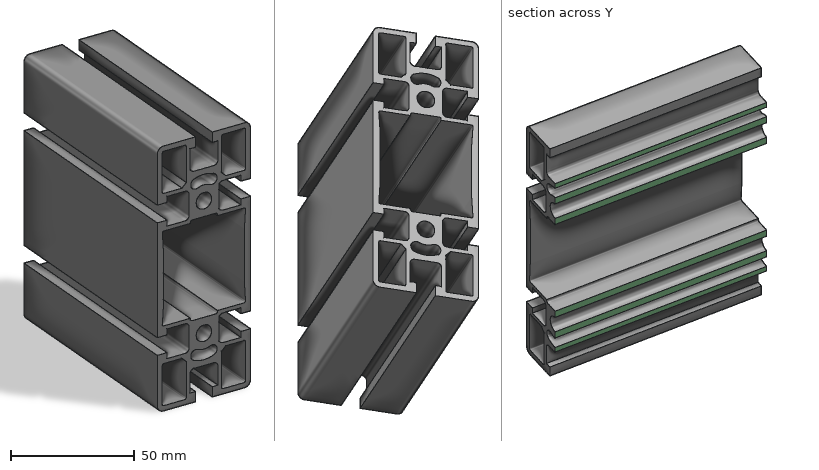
import cadquery as cq

length = 100.0
width = 45.0
height = 120.0
corner_radius = 3.0
half_width = width / 2
half_height = height / 2

core_z = 30.0
core_bore_diameter = 7.5

mouth_width = 8.0
lip_thickness = 4.7
cavity_width = 13.5
slot_depth = 15.4
slot_floor_radius = 2.0

skin = 2.4
web = 1.8
small_radius = 0.8

chamber_chamfer = 2.0

kidney_inner_radius = 7.2
kidney_outer_radius = 12.0
kidney_end_offset = 4.0

center_wall = 3.0
flat_wall_half_height = 12.0
center_half_height = core_z - cavity_width / 2 - web
recess_width = 13.1
recess_depth = 1.3
recess_radius = 1.0


def box(y_size, z_size, y, z):
    """Full-length box centred on (y, z)."""
    return cq.Workplane("XY").box(length, y_size, z_size).translate((0, y, z))


def prism(outline):
    """Extrude a closed YZ outline symmetrically along X."""
    return outline.extrude(length / 2, both=True)


def t_slot():
    """Slot opening towards +Z, with its mouth on the plane Z = 0."""
    cavity_depth = slot_depth - lip_thickness
    cavity = box(cavity_width, cavity_depth, 0, -lip_thickness - cavity_depth / 2)
    cavity = cavity.edges("|X and <Z").fillet(slot_floor_radius)
    mouth = box(mouth_width, lip_thickness, 0, -lip_thickness / 2)
    return cavity.union(mouth)


def corner_chamber():
    """Chamber in the +Y +Z corner, bevelled where it meets the core."""
    y_inner = cavity_width / 2 + web
    y_outer = half_width - skin
    z_inner = core_z + cavity_width / 2 + web
    z_outer = half_height - skin
    chamber = box(
        y_outer - y_inner,
        z_outer - z_inner,
        (y_inner + y_outer) / 2,
        (z_inner + z_outer) / 2,
    )
    chamber = chamber.edges("|X and <Y and <Z").chamfer(chamber_chamfer)
    rounded_corners = "(|X and >Y) or (|X and <Y and >Z)"
    return chamber.edges(rounded_corners).fillet(small_radius)


def kidney():
    """Curved slot with round ends, arching above the upper core bore."""
    middle_radius = (kidney_inner_radius + kidney_outer_radius) / 2
    end_rise = (middle_radius**2 - kidney_end_offset**2) ** 0.5

    def arc_end(radius, side):
        scale = radius / middle_radius
        return (side * kidney_end_offset * scale, core_z + end_rise * scale)

    def end_cap(side):
        y, z = arc_end(middle_radius, side)
        along = (kidney_outer_radius - kidney_inner_radius) / 2 / middle_radius
        return (y + side * end_rise * along, z - kidney_end_offset * along)

    outline = (
        cq.Workplane("YZ")
        .moveTo(*arc_end(kidney_outer_radius, -1))
        .threePointArc((0, core_z + kidney_outer_radius), arc_end(kidney_outer_radius, 1))
        .threePointArc(end_cap(1), arc_end(kidney_inner_radius, 1))
        .threePointArc((0, core_z + kidney_inner_radius), arc_end(kidney_inner_radius, -1))
        .threePointArc(end_cap(-1), arc_end(kidney_outer_radius, -1))
        .close()
    )
    return prism(outline)


def center_chamber():
    """Central chamber with a shallow recess over each core."""
    y_flat = half_width - center_wall
    y_end = half_width - skin
    outline = cq.Workplane("YZ").polyline(
        [
            (y_flat, -flat_wall_half_height),
            (y_flat, flat_wall_half_height),
            (y_end, center_half_height),
            (-y_end, center_half_height),
            (-y_flat, flat_wall_half_height),
            (-y_flat, -flat_wall_half_height),
            (-y_end, -center_half_height),
            (y_end, -center_half_height),
        ]
    ).close()
    chamber = prism(outline)
    chamber = chamber.edges("|X and (>Z or <Z)").fillet(small_radius)
    recesses = box(recess_width, 2 * (center_half_height + recess_depth), 0, 0)
    recesses = recesses.edges("|X").fillet(recess_radius)
    return chamber.union(recesses)


result = box(width, height, 0, 0).edges("|X").fillet(corner_radius)

end_slot = t_slot().translate((0, 0, half_height))
result = result.cut(end_slot).cut(end_slot.mirror("XY"))

side_slot = t_slot().rotate((0, 0, 0), (1, 0, 0), -90).translate((0, half_width, core_z))
for slot in (side_slot, side_slot.mirror("XZ")):
    result = result.cut(slot).cut(slot.mirror("XY"))

upper_chamber = corner_chamber()
for chamber in (upper_chamber, upper_chamber.mirror("XZ")):
    result = result.cut(chamber).cut(chamber.mirror("XY"))

bore = prism(cq.Workplane("YZ").center(0, core_z).circle(core_bore_diameter / 2))
for hole in (bore, kidney()):
    result = result.cut(hole).cut(hole.mirror("XY"))

result = result.cut(center_chamber())